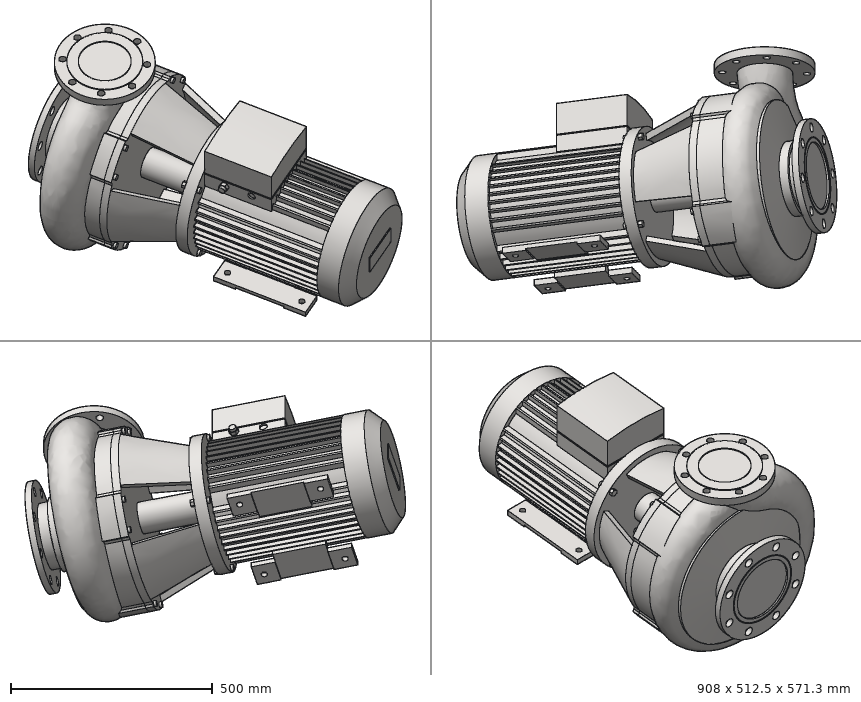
import cadquery as cq
import math


flange_holes = 8

diagonals = (45, 135, 225, 315)
leg_directions = (0, 90, 180, 270)

suction_flange_d = 285
suction_flange_t = 17
suction_bore_d = 168.3
suction_pipe_d = 168.3
suction_groove_d = 194
suction_groove_w = 2
suction_groove_depth = 1
suction_pitch_d = 240
suction_hole_d = 23
collar_d = 188.3
collar_x = 45
cone_x = 68
cone_end_x = 82
cone_end_r = 200
blank_depth = 5
drum_r = 222
cover_x = 240
cover_end_x = 260

lug_r = 232
lug_half_angle = 13.6
lug_foot_r = 226
lug_foot_half_angle = 14.3
lug_root_half_angle = 16.2

volute_x = 139.5
volute_y = -23.9
volute_outer_r = 255.8
throat_r = 58.75
spiral_end_r = 52
spiral_sweep = 265
discharge_z = 315
discharge_flange_d = 250
discharge_flange_t = 22
raised_face_d = 188.3
raised_face_t = 3
discharge_bore_d = 130.9
discharge_pitch_d = 210
discharge_hole_d = 18
neck_top_r = 70

lantern_flange_x = 428
lantern_flange_end_x = 460
lantern_flange_d = 350
leg_end_r = 157.5
leg_t = 18
leg_half_angle = 25
hub_d = 80
cover_bolt_pitch_r = 221
cover_bolt_offset_angle = 10
cover_bolt_d = 15
cover_bolt_h = 7

shield_r = 107
frame_x = 467
frame_r = 143
motor_d = 312
cowl_x = 811.5
cowl_taper_x = 872
cowl_end_x = 905
cowl_end_r = 123
rib_pitch = 21.4
rib_t = 4
ribs_each_side = 4
end_plate_t = 3
end_plate_w = 112
end_plate_h = 51
end_plate_z = 7

bolt_pitch_r = 164
bolt_shank_d = 10
bolt_head_af = 16
bolt_head_h = 10
nut_d = 16

box_l = 186
box_w = 189
box_bottom_z = 113
box_side_z = 241.5
box_crown_z = 249.5
lid_z = 157
lid_groove_w = 2.5
lid_groove_depth = 1.5
entry_z = 142
gland_dx = 56
gland_corner_d = 24.6
gland_nut_h = 10
gland_neck_d = 18
gland_neck_h = 8
knockout_dx = 130.5
knockout_d = 20
knockout_depth = 5

foot_x = 519
foot_l = 257
foot_y = 87
foot_w = 61
foot_top_z = -144.5
foot_web_z = -155
foot_bottom_z = -160
pad_l = 61
foot_hole_d = 15
foot_hole_end = 25
foot_hole_y = 120
arm_l = 135
arm_inner_y = 65
arm_slope_y = 73
arm_top_z = -131.5


def x_cylinder(x0, x1, diameter):
    return cq.Workplane("YZ", origin=(x0, 0, 0)).circle(diameter / 2).extrude(x1 - x0)


def revolve_x(points):
    """Revolve a closed (x, radius) outline about the shaft axis."""
    return cq.Workplane("XY").polyline(points).close().revolve(360, (0, 0, 0), (1, 0, 0))


def on_circle(radius, angle):
    a = math.radians(angle)
    return (radius * math.cos(a), radius * math.sin(a))


def lugged_disc(x0, x1):
    """Round disc with four raised lugs on the diagonals."""
    disc = x_cylinder(x0, x1, 2 * drum_r)
    for middle in diagonals:
        lug = (
            cq.Workplane("YZ", origin=(x0, 0, 0))
            .moveTo(0, 0)
            .lineTo(*on_circle(drum_r, middle - lug_root_half_angle))
            .lineTo(*on_circle(lug_foot_r, middle - lug_foot_half_angle))
            .lineTo(*on_circle(lug_r, middle - lug_half_angle))
            .threePointArc(on_circle(lug_r, middle), on_circle(lug_r, middle + lug_half_angle))
            .lineTo(*on_circle(lug_foot_r, middle + lug_foot_half_angle))
            .lineTo(*on_circle(drum_r, middle + lug_root_half_angle))
            .close()
            .extrude(x1 - x0)
        )
        disc = disc.union(lug)
    return disc


def ring_section(ctr_y, ctr_z, path_r, angle, tube_r, seam_out):
    """Circular tube section at this angle of an arc lying in the plane x = volute_x."""
    a = math.radians(angle)
    outward = cq.Vector(0, math.cos(a), math.sin(a))
    plane = cq.Plane(
        origin=(volute_x, ctr_y + path_r * outward.y, ctr_z + path_r * outward.z),
        xDir=outward if seam_out else -outward,
        normal=(0, -math.sin(a), math.cos(a)),
    )
    return cq.Workplane(plane).circle(tube_r).wires().val()


def spiral():
    """Tapering tube from the throat at -Y, under the shaft, round to the top.

    Its outer edge keeps to one circle set off from the shaft.
    """
    stations = 5
    wires = []
    for i in range(stations + 1):
        t = i / stations
        tube_r = throat_r + (spiral_end_r - throat_r) * t
        path_r = volute_outer_r - tube_r
        wires.append(ring_section(volute_y, 0, path_r, 180 + t * spiral_sweep, tube_r, True))
    return cq.Workplane(cq.Solid.makeLoft(wires))


def neck():
    """S-shaped discharge: an arc about the volute centre, then a reverse arc ending upright at y = 0."""
    path_r = volute_outer_r - throat_r
    throat_y = volute_y - path_r
    half_bend = math.atan(-throat_y / discharge_z)
    bend = math.degrees(2 * half_bend)
    reverse_r = discharge_z / math.sin(2 * half_bend) - path_r

    def tube_r(z):
        return throat_r + (neck_top_r - throat_r) * z / discharge_z

    lower_wires = []
    upper_wires = []
    stations = 3
    for i in range(stations + 1):
        lower_turn = bend * i / stations
        z = path_r * math.sin(math.radians(lower_turn))
        lower_wires.append(ring_section(volute_y, 0, path_r, 180 - lower_turn, tube_r(z), False))
        upper_turn = bend - lower_turn
        z = discharge_z - reverse_r * math.sin(math.radians(upper_turn))
        upper_wires.append(ring_section(-reverse_r, discharge_z, reverse_r, -upper_turn, tube_r(z), True))
    lower = cq.Workplane(cq.Solid.makeLoft(lower_wires))
    return lower.union(cq.Workplane(cq.Solid.makeLoft(upper_wires)))


def make_casing():
    body = revolve_x([
        (0, 0),
        (0, suction_flange_d / 2),
        (suction_flange_t, suction_flange_d / 2),
        (suction_flange_t, suction_pipe_d / 2),
        (collar_x, suction_pipe_d / 2),
        (collar_x, collar_d / 2),
        (cone_x, collar_d / 2),
        (cone_end_x, cone_end_r),
        (volute_x, cone_end_r),
        (volute_x, 0),
    ])
    body = body.union(lugged_disc(volute_x, cover_x)).union(spiral()).union(neck())
    first_hole_angle = 180 / flange_holes
    flange_z = discharge_z - raised_face_t - discharge_flange_t
    outlet = (
        cq.Workplane("XY", origin=(volute_x, 0, flange_z))
        .circle(discharge_flange_d / 2)
        .extrude(discharge_flange_t)
        .faces(">Z").workplane()
        .circle(raised_face_d / 2)
        .extrude(raised_face_t)
    )
    body = body.union(outlet)
    bore = (
        cq.Workplane("XY", origin=(volute_x, 0, discharge_z))
        .circle(discharge_bore_d / 2)
        .extrude(-raised_face_t)
    )
    outlet_holes = (
        cq.Workplane("XY", origin=(volute_x, 0, flange_z))
        .polarArray(discharge_pitch_d / 2, first_hole_angle, 360, flange_holes)
        .circle(discharge_hole_d / 2)
        .extrude(discharge_flange_t + raised_face_t)
    )
    inlet_holes = (
        cq.Workplane("YZ")
        .polarArray(suction_pitch_d / 2, first_hole_angle, 360, flange_holes)
        .circle(suction_hole_d / 2)
        .extrude(suction_flange_t)
    )
    inlet_bore = x_cylinder(0, blank_depth, suction_bore_d)
    groove = (
        cq.Workplane("YZ")
        .circle(suction_groove_d / 2)
        .circle(suction_groove_d / 2 - suction_groove_w)
        .extrude(suction_groove_depth)
    )
    return body.cut(bore).cut(outlet_holes).cut(inlet_holes).cut(inlet_bore).cut(groove)


def lantern_legs():
    """Four tapered legs, each a sector of a conical shell."""
    legs = cq.Workplane()
    for middle in leg_directions:
        leg = (
            cq.Workplane("XY")
            .polyline([
                (cover_end_x, drum_r - leg_t),
                (cover_end_x, drum_r),
                (lantern_flange_x, leg_end_r),
                (lantern_flange_x, leg_end_r - leg_t),
            ])
            .close()
            .revolve(2 * leg_half_angle, (0, 0, 0), (1, 0, 0))
            .rotate((0, 0, 0), (1, 0, 0), middle - leg_half_angle)
        )
        legs = legs.add(leg)
    return legs


def bolt_points():
    return [on_circle(bolt_pitch_r, angle) for angle in diagonals]


def make_lantern():
    body = lugged_disc(cover_x, cover_end_x)
    body = body.union(x_cylinder(cover_end_x, lantern_flange_x, hub_d))
    body = body.union(x_cylinder(lantern_flange_x, lantern_flange_end_x, lantern_flange_d))
    for leg in lantern_legs().vals():
        body = body.union(cq.Workplane(leg))
    cover_bolts = [
        on_circle(cover_bolt_pitch_r, middle + side * cover_bolt_offset_angle)
        for middle in diagonals
        for side in (-1, 1)
    ]
    heads = (
        cq.Workplane("YZ", origin=(cover_end_x, 0, 0))
        .pushPoints(cover_bolts)
        .circle(cover_bolt_d / 2)
        .extrude(cover_bolt_h)
    )
    shank_holes = (
        cq.Workplane("YZ", origin=(lantern_flange_x, 0, 0))
        .pushPoints(bolt_points())
        .circle(bolt_shank_d / 2)
        .extrude(lantern_flange_end_x - lantern_flange_x)
    )
    return body.union(heads).cut(shank_holes)


def make_flange_bolt(y, z):
    head = (
        cq.Workplane("YZ", origin=(lantern_flange_x - bolt_head_h, y, z))
        .polygon(6, bolt_head_af, circumscribed=True)
        .extrude(bolt_head_h)
    )
    shank = x_cylinder(lantern_flange_x, lantern_flange_end_x, bolt_shank_d).translate((0, y, z))
    nut = x_cylinder(lantern_flange_end_x, frame_x, nut_d).translate((0, y, z))
    return head.union(shank).union(nut)


def make_motor():
    body = revolve_x([
        (lantern_flange_end_x, 0),
        (lantern_flange_end_x, shield_r),
        (frame_x, shield_r),
        (frame_x, frame_r),
        (cowl_x, frame_r),
        (cowl_x, motor_d / 2),
        (cowl_taper_x, motor_d / 2),
        (cowl_end_x, cowl_end_r),
        (cowl_end_x, 0),
    ])
    rib_l = cowl_x - frame_x
    for i in range(-ribs_each_side, ribs_each_side + 1):
        slab = cq.Workplane("XY").box(rib_l, motor_d, rib_t)
        slab = slab.translate((frame_x + rib_l / 2, 0, i * rib_pitch))
        crossed = slab.union(slab.rotate((0, 0, 0), (1, 0, 0), 90))
        body = body.union(crossed.intersect(x_cylinder(frame_x, cowl_x, motor_d)))
    plate = cq.Workplane("XY").box(end_plate_t, end_plate_w, end_plate_h, centered=(False, True, True))
    return body.union(plate.translate((cowl_end_x, 0, end_plate_z)))


def make_terminal_box(motor):
    half_w = box_w / 2
    box = (
        cq.Workplane("YZ", origin=(frame_x, 0, 0))
        .moveTo(-half_w, box_bottom_z)
        .lineTo(-half_w, box_side_z)
        .threePointArc((0, box_crown_z), (half_w, box_side_z))
        .lineTo(half_w, box_bottom_z)
        .close()
        .extrude(box_l)
    )
    groove = (
        cq.Workplane("XY", origin=(frame_x + box_l / 2, 0, lid_z))
        .rect(box_l, box_w)
        .rect(box_l - 2 * lid_groove_depth, box_w - 2 * lid_groove_depth)
        .extrude(lid_groove_w)
    )
    entry_plane = cq.Workplane("XZ", origin=(frame_x, -half_w, entry_z))
    gland_nut = entry_plane.center(gland_dx, 0).polygon(6, gland_corner_d).extrude(gland_nut_h)
    gland = gland_nut.faces("<Y").workplane().circle(gland_neck_d / 2).extrude(gland_neck_h)
    knockout = entry_plane.center(knockout_dx, 0).circle(knockout_d / 2).extrude(-knockout_depth)
    return box.cut(groove).cut(knockout).union(gland).cut(motor)


def make_foot(side, motor):
    """Foot plate with two pads and a sloped arm up to the motor frame; side is -1 or 1 along Y."""
    plate = (
        cq.Workplane("XY", origin=(foot_x, foot_y, foot_web_z))
        .rect(foot_l, foot_w, centered=False)
        .extrude(foot_top_z - foot_web_z)
    )
    for pad_x in (foot_x, foot_x + foot_l - pad_l):
        pad = (
            cq.Workplane("XY", origin=(pad_x, foot_y, foot_bottom_z))
            .rect(pad_l, foot_w, centered=False)
            .extrude(foot_web_z - foot_bottom_z)
        )
        plate = plate.union(pad)
    arm = (
        cq.Workplane("YZ", origin=(foot_x + (foot_l - arm_l) / 2, 0, 0))
        .polyline([
            (arm_inner_y, foot_web_z),
            (foot_y, foot_web_z),
            (foot_y, foot_top_z),
            (arm_slope_y, arm_top_z),
            (arm_slope_y, -shield_r),
            (arm_inner_y, -shield_r),
        ])
        .close()
        .extrude(arm_l)
    )
    holes = (
        cq.Workplane("XY", origin=(0, 0, foot_bottom_z))
        .pushPoints([
            (foot_x + foot_hole_end, foot_hole_y),
            (foot_x + foot_l - foot_hole_end, foot_hole_y),
        ])
        .circle(foot_hole_d / 2)
        .extrude(foot_top_z - foot_bottom_z)
    )
    foot = plate.union(arm).cut(holes)
    if side < 0:
        foot = foot.mirror("XZ")
    return foot.cut(motor)


casing = make_casing()
lantern = make_lantern()
flange_bolts = [make_flange_bolt(y, z) for y, z in bolt_points()]
motor = make_motor()
terminal_box = make_terminal_box(motor)
feet = [make_foot(side, motor) for side in (-1, 1)]

bodies = [casing, lantern, *flange_bolts, motor, terminal_box, *feet]
result = cq.Compound.makeCompound([body.solids().val() for body in bodies])